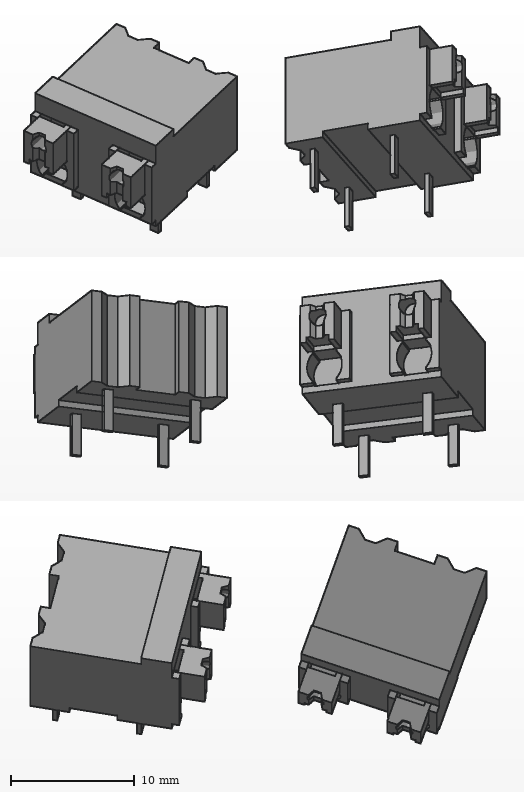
import cadquery as cq


pole_pitch = 7.62
pole_xs = [-pole_pitch / 2, pole_pitch / 2]

housing_width = 11.84
housing_depth = 11.73
housing_height = 8.5
ledge_depth = 2.55
ledge_height = 0.76

recess_start = 4.53
recess_length = 3.95
recess_height = 0.53

pad_width = housing_width - pole_pitch
notch_mouth = 2.46
notch_floor = 0.92
notch_depth = 0.7
channel_width = housing_width - 2 * pad_width
channel_depth = 0.8

pad_thickness = 0.6
pad_bottom = 0.59
pad_top = 6.6

cavity_depth = 1.39
cavity_offset = -0.03

opening_depth = 1.29
opening_z = 1.96
opening_slot_width = 2.0
opening_floor = 0.55
bulge_width = 2.97
bulge_height = 2.43

lever_width = 2.87
lever_top = pad_top
lever_height = 3.26
lever_bottom = lever_top - lever_height
overall_depth = 14.3
lever_front = overall_depth - housing_depth
lever_block_rear = 0.36
arm_width = 0.49
groove_mouth = 1.19
groove_floor = 0.61
groove_depth = 0.51
bore_radius = 0.72
bore_z = 5.62
bore_depth = 1.72
foot_notch_width = 1.89
foot_notch_height = 0.45

pin_width = 0.82
pin_thickness = 0.39
pin_length = 3.5
pin_ys = [3.06, 10.02]


def block(x_center, width, y_start, y_end, z_start, z_end):
    """Box centred on x_center, spanning the given Y and Z ranges."""
    return cq.Workplane("XY").box(
        width, y_end - y_start, z_end - z_start, centered=(True, False, False)
    ).translate((x_center, y_start, z_start))


def trapezoid_groove(x, mouth, floor, y_mouth, y_floor, z_start, z_end):
    """Upright groove that narrows from its mouth to its floor."""
    return (
        cq.Workplane("XY", origin=(x, 0, z_start))
        .moveTo(-mouth / 2, y_mouth)
        .lineTo(mouth / 2, y_mouth)
        .lineTo(floor / 2, y_floor)
        .lineTo(-floor / 2, y_floor)
        .close()
        .extrude(z_end - z_start)
    )


def wire_opening(x):
    half_slot = opening_slot_width / 2
    half_bulge = bulge_width / 2
    bulge_bottom = opening_z - bulge_height / 2
    bulge_top = opening_z + bulge_height / 2
    return (
        cq.Workplane("XZ", origin=(x, -pad_thickness, 0))
        .moveTo(-half_slot, opening_floor)
        .lineTo(half_slot, opening_floor)
        .lineTo(half_slot, bulge_bottom)
        .threePointArc((half_bulge, opening_z), (half_slot, bulge_top))
        .lineTo(half_slot, lever_bottom)
        .lineTo(-half_slot, lever_bottom)
        .lineTo(-half_slot, bulge_top)
        .threePointArc((-half_bulge, opening_z), (-half_slot, bulge_bottom))
        .close()
        .extrude(-pad_thickness - opening_depth)
    )


def lever_cavity(x):
    return block(x, lever_width, -pad_thickness, cavity_depth, lever_bottom, lever_top)


def make_housing():
    body = block(0, housing_width, 0, housing_depth, 0, housing_height - ledge_height)
    body = body.union(block(0, housing_width, 0, ledge_depth, 0, housing_height))
    body = body.cut(
        block(0, housing_width, recess_start, recess_start + recess_length, 0, recess_height)
    )
    body = body.cut(
        block(0, channel_width, housing_depth - channel_depth, housing_depth, 0, housing_height)
    )
    for x in pole_xs:
        notch_y = housing_depth - notch_depth
        rear_notch = trapezoid_groove(x, notch_mouth, notch_floor, housing_depth, notch_y, 0, housing_height)
        body = body.cut(rear_notch)
        body = body.union(block(x, pad_width, -pad_thickness, 0, pad_bottom, pad_top))
        body = body.cut(lever_cavity(x + cavity_offset))
        body = body.cut(wire_opening(x + cavity_offset))
    return body


def make_lever(x):
    """Block with a side arm and a foot plate that both reach to the back of the cavity."""
    center = x + cavity_offset
    foot_top = lever_bottom + foot_notch_height
    lever = block(center, lever_width, -lever_front, -lever_block_rear, lever_bottom, lever_top)
    arm_x = center + (lever_width - arm_width) / 2
    arm = block(arm_x, arm_width, -lever_block_rear, cavity_depth, lever_bottom, lever_top)
    foot = block(center, lever_width, -lever_block_rear, cavity_depth, lever_bottom, foot_top)
    lever = lever.union(arm).union(foot)

    groove_y = groove_depth - lever_front
    groove = trapezoid_groove(x, groove_mouth, groove_floor, -lever_front, groove_y, lever_bottom, lever_top)
    bore = cq.Workplane("XZ", origin=(x, -lever_front, bore_z)).circle(bore_radius).extrude(-bore_depth)
    foot_notch = block(x, foot_notch_width, -lever_front, -pad_thickness, lever_bottom, foot_top)
    return lever.cut(groove).cut(bore).cut(foot_notch)


def make_pin(x, y):
    return block(x, pin_width, y - pin_thickness / 2, y + pin_thickness / 2, -pin_length, 0)


housing = make_housing()
levers = [make_lever(x) for x in pole_xs]
pins = [make_pin(x, y) for x in pole_xs for y in pin_ys]

result = cq.Compound.makeCompound(
    [housing.val(), *[lever.val() for lever in levers], *[pin.val() for pin in pins]]
)